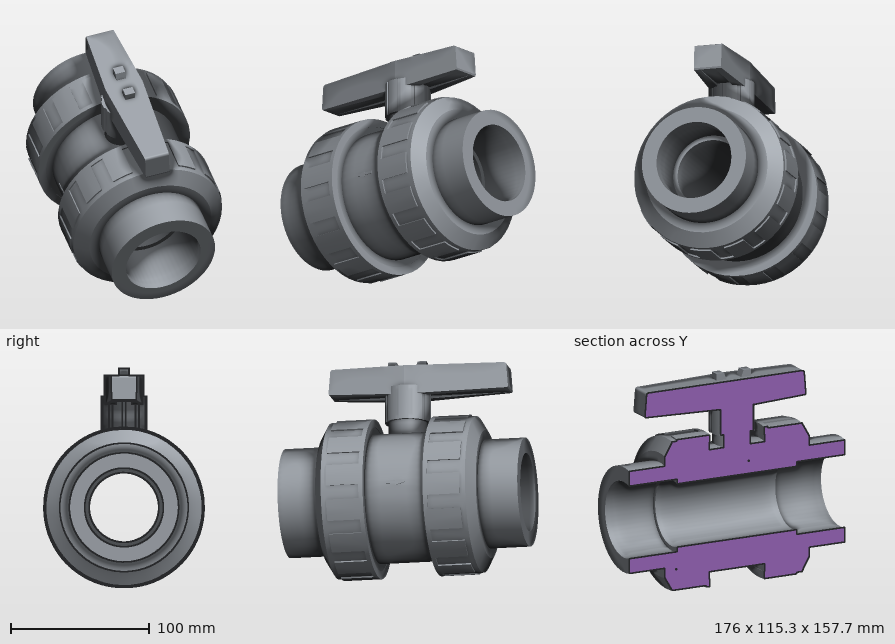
import cadquery as cq
import math

length = 176.0
overall_height = 157.7
pipe_diameter = 78.7
bore_diameter = 50.0
socket_diameter = 56.7
socket_depth = 39.0

body_diameter = 93.5
nut_inner_x = 22.0
nut_rim_x = 25.2
nut_teeth_x = 49.1
nut_cone_x = 53.0
nut_outer_x = 59.0
nut_diameter = 113.0
nut_grip_diameter = 115.3
nut_nose_diameter = 92.5
nut_recess_diameter = 103.7
nut_recess_depth = 0.4
tooth_count = 14
gap_angle = 10.2
first_gap_angle = -7.7

stem_diameter = 28.0
hub_diameter = 33.0
hub_bottom_z = 55.0
hub_top_z = 80.0
groove_count = 10
groove_width = 2.8
groove_depth = 0.7

handle_top_z = 95.0
handle_end_bottom_z = 76.4
handle_centre_bottom_z = 74.0
handle_half_width = 14.0
handle_side_slope = 0.068
handle_short_reach = 56.3
handle_long_reach = 75.2
handle_end_draft = 1.4
handle_edge_radius = 2.0
handle_bevel_inset = 0.5
handle_bevel_height = 1.2
channel_width = 11.0

tab_top_z = overall_height - nut_grip_diameter / 2
tab_outer_x = 14.0
tab_top_length = 6.2
tab_foot_length = 8.1
tab_width = 7.4

arrow_half_length = 7.0
arrow_half_width = 2.1
arrow_shaft_half_width = 0.9
arrow_relief = 0.5


def cylinder_x(diameter, x_start, x_end):
    """Solid cylinder on the X axis."""
    return cq.Workplane("YZ", origin=(x_start, 0, 0)).circle(diameter / 2).extrude(x_end - x_start)


def cylinder_z(diameter, z_start, z_end):
    """Solid cylinder on the Z axis."""
    return cq.Workplane("XY", origin=(0, 0, z_start)).circle(diameter / 2).extrude(z_end - z_start)


def union_nut():
    """Nut on the +X side: tapered nose, plain rim, raised gripping teeth and recessed face."""
    profile = [
        (nut_inner_x, 0),
        (nut_inner_x, nut_diameter / 2),
        (nut_cone_x, nut_diameter / 2),
        (nut_outer_x, nut_nose_diameter / 2),
        (nut_outer_x, 0),
    ]
    nut = cq.Workplane("XY").polyline(profile).close().revolve(360, (0, 0, 0), (1, 0, 0))
    grip = cylinder_x(nut_grip_diameter, nut_inner_x, nut_teeth_x)
    gap_height = nut_grip_diameter * math.sin(math.radians(gap_angle / 2))
    gap = cq.Workplane("XY").box(
        nut_teeth_x - nut_rim_x, nut_grip_diameter, gap_height, centered=(False, False, True)
    ).translate((nut_rim_x, -nut_grip_diameter, 0))
    for index in range(tooth_count):
        angle = first_gap_angle + index * 360 / tooth_count
        grip = grip.cut(gap.rotate((0, 0, 0), (1, 0, 0), angle))
    recess = cylinder_x(nut_recess_diameter, nut_inner_x, nut_inner_x + nut_recess_depth)
    return nut.union(grip).cut(recess)


def hub():
    """Grooved hub that carries the handle on the stem."""
    grooved = cylinder_z(hub_diameter, hub_bottom_z, hub_top_z)
    groove = cq.Workplane("XY").box(
        hub_diameter, groove_width, hub_top_z - hub_bottom_z, centered=(False, True, False)
    ).translate((hub_diameter / 2 - groove_depth, 0, hub_bottom_z))
    for index in range(groove_count):
        grooved = grooved.cut(groove.rotate((0, 0, 0), (0, 0, 1), index * 360 / groove_count))
    return grooved


def handle_half(reach):
    """Half of the handle, running from the stem axis to +X."""
    end_half_width = handle_half_width - handle_side_slope * reach
    side = (
        cq.Workplane("XZ")
        .polyline([
            (0, handle_centre_bottom_z),
            (reach - handle_bevel_inset, handle_end_bottom_z),
            (reach, handle_end_bottom_z + handle_bevel_height),
            (reach - handle_end_draft, handle_top_z),
            (0, handle_top_z),
        ])
        .close()
        .extrude(handle_half_width, both=True)
        .faces(">Z").edges(">X")
        .fillet(handle_edge_radius)
    )
    plan = (
        cq.Workplane("XY")
        .polyline([
            (0, -handle_half_width),
            (reach, -end_half_width),
            (reach, end_half_width),
            (0, handle_half_width),
        ])
        .close()
        .extrude(handle_top_z)
    )
    channel = cq.Workplane("XY").box(reach, channel_width, handle_end_bottom_z, centered=(False, True, False))
    return side.intersect(plan).cut(channel)


def tab():
    """Wedge-faced tab on top of the handle, on the +X side."""
    return (
        cq.Workplane("XZ")
        .polyline([
            (tab_outer_x, handle_top_z),
            (tab_outer_x, tab_top_z),
            (tab_outer_x - tab_top_length, tab_top_z),
            (tab_outer_x - tab_foot_length, handle_top_z),
        ])
        .close()
        .extrude(tab_width / 2, both=True)
    )


def flow_arrows():
    """Raised arrows pointing along +X on both flanks of the body."""
    outline = (
        cq.Workplane("XZ")
        .polyline([
            (-arrow_half_length, -arrow_shaft_half_width),
            (0, -arrow_shaft_half_width),
            (0, -arrow_half_width),
            (arrow_half_length, 0),
            (0, arrow_half_width),
            (0, arrow_shaft_half_width),
            (-arrow_half_length, arrow_shaft_half_width),
        ])
        .close()
        .extrude(body_diameter, both=True)
    )
    return outline.intersect(cylinder_x(body_diameter + 2 * arrow_relief, -nut_inner_x, nut_inner_x))


def turned(shape):
    """Copy of a +X side shape turned half a turn about the stem axis."""
    return shape.rotate((0, 0, 0), (0, 0, 1), 180)


nut = union_nut()
result = (
    cylinder_x(pipe_diameter, -length / 2, length / 2)
    .union(cylinder_x(body_diameter, -nut_rim_x, nut_rim_x))
    .union(nut)
    .union(turned(nut))
    .union(flow_arrows())
)

result = (
    result
    .union(cylinder_z(stem_diameter, 0, hub_top_z))
    .union(hub())
    .union(handle_half(handle_long_reach))
    .union(turned(handle_half(handle_short_reach)))
    .union(tab())
    .union(turned(tab()))
)

socket = cylinder_x(socket_diameter, length / 2 - socket_depth, length / 2)
result = result.cut(cylinder_x(bore_diameter, -length / 2, length / 2)).cut(socket).cut(turned(socket))